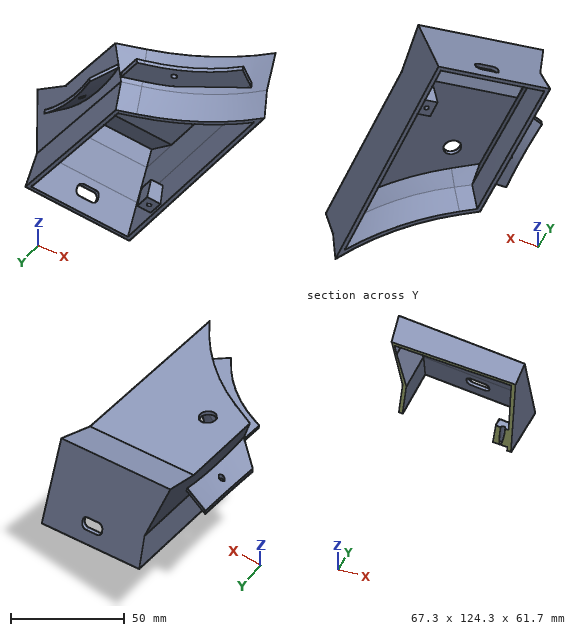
import cadquery as cq
import math

tilt_about_x = 6.2
tilt_about_y = 8.1
turn_about_z = -1.8

wall = 2.0

rim_z = -20.5
waist_z = -4.6
roof_z = 13.3
ridge_z = 21.6

rim_back_y = 59.5
back_lean = 0.3
rim_right_x = 32.2
right_lean = 0.085
ramp_start_y = 26.0

front_left = {rim_z: (-20.0, -15.5), waist_z: (-20.5, -15.4), roof_z: (-27.4, -15.7)}
arc_start = {rim_z: (-11.7, -19.5), waist_z: (-12.0, -19.1), roof_z: (-14.8, -21.8)}
front_right_y = {rim_z: -57.6, waist_z: -56.5, roof_z: -60.2}

upper_splay = 0.024
left_splay = {rim_z: 0.026, waist_z: upper_splay, roof_z: upper_splay}

roof_hole_d = 8.0
roof_hole_xy = (-9.6, -8.5)
slot_length = 11.0
slot_height = 5.7
slot_corner_r = 2.4
slot_x = 5.7
slot_z = -11.2

boss_width = 8.5
boss_depth = 7.1
boss_y = 34.0
boss_height = 10.0
boss_recess = wall
boss_hole_d = 2.0

tab_hole_d = 2.6

front_tab_z = -0.2
front_tab_left = (-21.5, -29.0)
front_tab_arc_start = (-18.2, -30.3)
front_tab_right = (16.7, -57.9)
front_tab_right_root = (26.1, -50.0)
front_tab_hole = (-3.6, -32.5)
front_tab_undercut = 0.6

left_tab_slope = 41.0
left_tab_origin = (-32.2, 2.2, -6.5)
left_tab_radius = 78.3
left_tab_back = 25.0
left_tab_front = -11.6
left_tab_front_root = -17.7
left_tab_length = 13.2
left_tab_drop = 2.0
left_tab_edge_set_back = 0.2
left_tab_hole = (4.1, 6.0)


def back_y(z):
    return rim_back_y - back_lean * (z - rim_z)


def right_x(z):
    return rim_right_x - right_lean * (z - rim_z)


def left_x(z, y):
    """X of the left wall at one of the three heights."""
    corner_x, corner_y = front_left[z]
    return corner_x - left_splay[z] * (y - corner_y)


def section(z, inset):
    """Horizontal outline of the walls at one of the three heights, moved inwards by inset."""
    outline = (
        cq.Workplane("XY", origin=(0, 0, z))
        .moveTo(left_x(z, back_y(z)), back_y(z))
        .lineTo(*front_left[z])
        .lineTo(*arc_start[z])
        .tangentArcPoint((right_x(z), front_right_y[z]), relative=False)
        .lineTo(right_x(z), back_y(z))
        .close()
    )
    if inset:
        outline = outline.offset2D(-inset)
    return outline.val()


def ramp(inset):
    """Wedge that rises from the flat roof to the ridge along the back wall."""

    def end_triangle(start_x, base_x, ridge_x):
        base_z = roof_z - inset
        return cq.Wire.makePolygon(
            [
                cq.Vector(start_x, ramp_start_y, base_z),
                cq.Vector(base_x, back_y(roof_z) - inset, base_z),
                cq.Vector(ridge_x, back_y(ridge_z) - inset, ridge_z - inset),
            ],
            close=True,
        )

    ridge_y = back_y(ridge_z)
    left_lean = (left_x(waist_z, ridge_y) - left_x(roof_z, ridge_y)) / (roof_z - waist_z)
    start_x = left_x(roof_z, ramp_start_y)
    back_x = left_x(roof_z, back_y(roof_z))
    ridge_x = left_x(roof_z, ridge_y) - left_lean * (ridge_z - roof_z)
    left = end_triangle(start_x + inset, back_x + inset, ridge_x + inset)
    right = end_triangle(right_x(roof_z) - inset, right_x(roof_z) - inset, right_x(ridge_z) - inset)
    return cq.Workplane(cq.Solid.makeLoft([left, right], True))


def body(inset):
    """Lower and upper walls meeting at the waist, with the ramp on top."""
    rim, waist, roof = (section(z, inset) for z in (rim_z, waist_z, roof_z))
    roof = roof.translate(cq.Vector(0, 0, -inset))
    lower = cq.Workplane(cq.Solid.makeLoft([rim, waist], True))
    upper = cq.Workplane(cq.Solid.makeLoft([waist, roof], True))
    return lower.union(upper).union(ramp(inset))


def front_tab():
    end_x, end_y = front_tab_left
    root_x, root_y = arc_start[waist_z][0], front_left[waist_z][1]
    top = cq.Workplane("XY", origin=(0, 0, front_tab_z))
    plate = (
        top.moveTo(end_x, end_y)
        .lineTo(*front_tab_arc_start)
        .tangentArcPoint(front_tab_right, relative=False)
        .lineTo(*front_tab_right_root)
        .lineTo(root_x, root_y)
        .lineTo(end_x, root_y)
        .close()
        .extrude(-wall)
    )
    undercut = (
        cq.Workplane("XZ", origin=(end_x, root_y, front_tab_z))
        .polyline([(0, 0), (0, -wall), (front_tab_undercut, -wall)])
        .close()
        .extrude(root_y - end_y + front_tab_undercut)
    )
    hole = top.center(*front_tab_hole).circle(tab_hole_d / 2).extrude(-wall)
    return plate.cut(undercut).cut(hole)


def left_tab():
    slope = math.radians(left_tab_slope)
    inwards = cq.Vector(math.cos(slope), 0, math.sin(slope))
    upwards = cq.Vector(-math.sin(slope), 0, math.cos(slope))

    def point(along, depth):
        sag = left_tab_radius - math.sqrt(left_tab_radius**2 - along**2)
        return cq.Vector(left_tab_origin) + cq.Vector(0, along, 0) + inwards * depth + upwards * sag

    def arc(front, depth):
        ends_and_middle = (front, (front + left_tab_back) / 2, left_tab_back)
        return cq.Edge.makeThreePointArc(*(point(along, depth) for along in ends_and_middle))

    top = cq.Face.makeRuledSurface(arc(left_tab_front, 0), arc(left_tab_front_root, left_tab_length))
    drop = cq.Vector(left_tab_edge_set_back, 0, -left_tab_drop)
    sheet = cq.Workplane(cq.Solid.extrudeLinear(top, drop))
    hole = (
        cq.Workplane("XY", origin=point(*left_tab_hole).toTuple())
        .circle(tab_hole_d / 2)
        .extrude(2 * left_tab_drop, both=True)
    )
    return sheet.cut(hole)


def screw_boss():
    inner_x = right_x(rim_z) - wall - boss_depth
    block = (
        cq.Workplane("XY", origin=(0, 0, rim_z + boss_recess))
        .center(inner_x + boss_depth / 2, boss_y)
        .rect(boss_depth, boss_width)
        .extrude(boss_height)
    )
    return block.faces("<Z").workplane().hole(boss_hole_d)


def back_slot():
    return (
        cq.Workplane("XZ", origin=(slot_x, back_y(slot_z), slot_z))
        .rect(slot_length, slot_height)
        .extrude(2 * wall, both=True)
        .edges("|Y")
        .fillet(slot_corner_r)
    )


roof_hole = (
    cq.Workplane("XY", origin=(0, 0, roof_z))
    .center(*roof_hole_xy)
    .circle(roof_hole_d / 2)
    .extrude(-2 * wall)
)

result = (
    body(0)
    .union(front_tab())
    .union(left_tab())
    .cut(body(wall))
    .union(screw_boss())
    .cut(back_slot())
    .cut(roof_hole)
    .rotate((0, 0, 0), (1, 0, 0), tilt_about_x)
    .rotate((0, 0, 0), (0, 1, 0), tilt_about_y)
    .rotate((0, 0, 0), (0, 0, 1), turn_about_z)
)